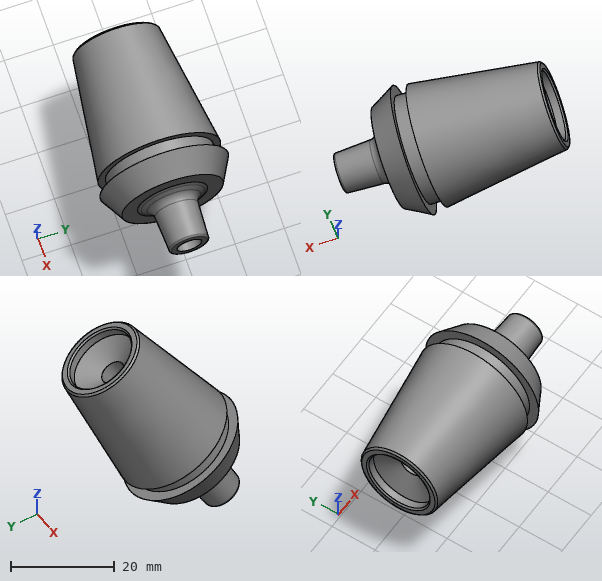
import cadquery as cq
import math

length = 44.0
groove_start = 26.0
flange_start = 28.95
flange_end = 33.95
neck_cone_start = 34.25
neck_arc_start = 34.75
stub_start = 36.35

flange_radius = 13.1
flange_end_radius = 10.35
taper_large_radius = 12.5
taper_half_angle = 8.0
groove_radius = 11.0
neck_base_radius = 7.15
neck_cone_radius = 6.45
neck_arc_radius = 5.45
stub_base_radius = 4.45
stub_tip_radius = 4.05
rim_chamfer = 0.4
tip_round = 0.4

through_radius = 2.5
bore_radius = 7.05
bore_depth = 1.95
bore_chamfer = 0.35
drill_half_angle = 59.0


def outer_body():
    """Revolved outside: taper, groove, flange, flared neck and slim stub."""
    taper_slope = math.tan(math.radians(taper_half_angle))
    taper_small_radius = taper_large_radius - (groove_start - rim_chamfer) * taper_slope

    profile = (
        cq.Workplane("XY")
        .moveTo(0, 0)
        .lineTo(0, taper_small_radius - rim_chamfer)
        .lineTo(rim_chamfer, taper_small_radius)
        .lineTo(groove_start, taper_large_radius)
        .lineTo(groove_start, groove_radius)
        .lineTo(flange_start, groove_radius)
        .lineTo(flange_start, flange_radius)
        .lineTo(flange_end, flange_end_radius)
        .lineTo(flange_end, 0)
        .close()
    )
    stub = (
        cq.Workplane("XY")
        .moveTo(flange_end, 0)
        .lineTo(length, 0)
        .lineTo(length, stub_tip_radius - tip_round)
        .radiusArc((length - tip_round, stub_tip_radius), -tip_round)
        .lineTo(stub_start, stub_base_radius)
        .tangentArcPoint((neck_arc_start, neck_arc_radius), relative=False)
        .lineTo(neck_cone_start, neck_cone_radius)
        .lineTo(flange_end, neck_base_radius)
        .close()
    )
    axis_end = (1, 0, 0)
    return profile.revolve(360, (0, 0, 0), axis_end).union(stub.revolve(360, (0, 0, 0), axis_end))


def stepped_bore():
    """Chamfered counterbore with a conical floor leading into the through hole."""
    cone_depth = (bore_radius - through_radius) / math.tan(math.radians(drill_half_angle))
    return (
        cq.Workplane("XY")
        .moveTo(0, 0)
        .lineTo(0, bore_radius + bore_chamfer)
        .lineTo(bore_chamfer, bore_radius)
        .lineTo(bore_depth, bore_radius)
        .lineTo(bore_depth + cone_depth, through_radius)
        .lineTo(length, through_radius)
        .lineTo(length, 0)
        .close()
        .revolve(360, (0, 0, 0), (1, 0, 0))
    )


result = outer_body().cut(stepped_bore())